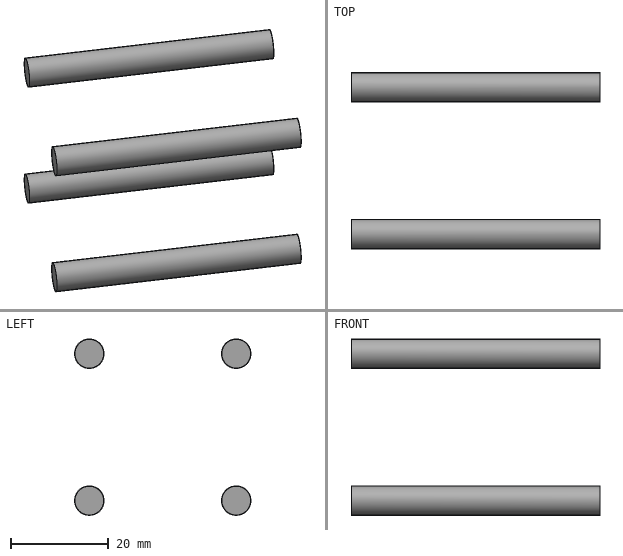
import cadquery as cq

pin_length = 50.8
pin_diameter = 6.0
pin_spacing = 30.0


def make_pin(y, z):
    """Plain round pin along X, centred on the YZ plane."""
    return (
        cq.Workplane("YZ", origin=(-pin_length / 2, y, z))
        .circle(pin_diameter / 2)
        .extrude(pin_length)
    )


half_spacing = pin_spacing / 2
pins = []
for y in (-half_spacing, half_spacing):
    for z in (-half_spacing, half_spacing):
        pins.append(make_pin(y, z).val())

result = cq.Compound.makeCompound(pins)